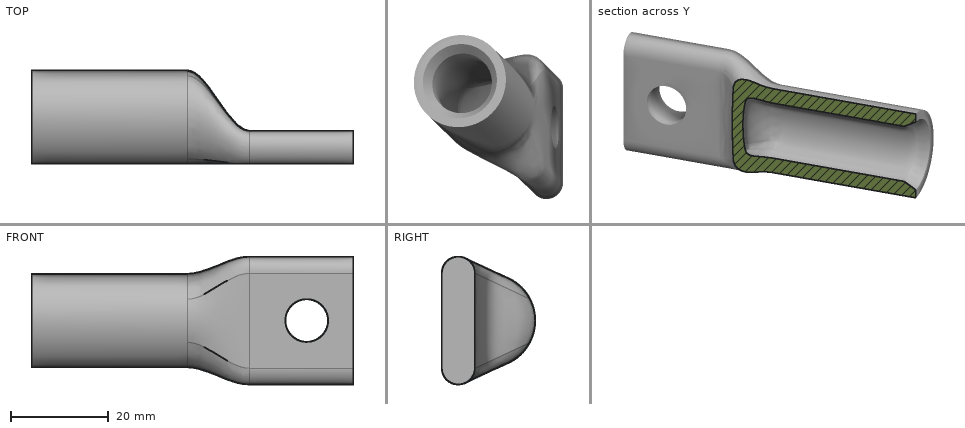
import cadquery as cq
import math

total_length = 65.9
barrel_length = 31.8
barrel_radius = 19.2 / 2
palm_start = 44.55
palm_thickness = 6.8
palm_width = 26.2
bore_radius = 6.2
mouth_radius = 7.7
mouth_depth = 2.65
hole_radius = 4.35
hole_x = 56.3

seam_half_width = 4.4

slit_thickness = 0.4
slit_width = 17.1

transition_length = palm_start - barrel_length
section_count = 7
straight_tolerance = 4.34e-07
palm_center_y = palm_thickness / 2 - barrel_radius


def circle_points(radius, seam):
    """Four seam points and the arc midpoints between them, as (y, z)."""
    depth = math.sqrt(radius**2 - seam**2)
    return [
        (-depth, -seam), (-radius, 0), (-depth, seam), (0, radius),
        (depth, seam), (radius, 0), (depth, -seam), (0, -radius),
    ]


def stadium_points(thickness, width):
    """Matching points on a round-ended flat section centred on the palm."""
    half = thickness / 2
    flat = width / 2 - half
    low = palm_center_y - half
    high = palm_center_y + half
    return [
        (low, -flat), (low, 0), (low, flat), (palm_center_y, width / 2),
        (high, flat), (high, 0), (high, -flat), (palm_center_y, -width / 2),
    ]


def section_wire(x, points):
    """Close a section with two end arcs and two arcs or straight flats."""
    vectors = [cq.Vector(x, y, z) for y, z in points]
    edges = []
    for i in range(0, len(vectors), 2):
        start, middle, end = vectors[i], vectors[i + 1], vectors[(i + 2) % len(vectors)]
        if (middle - start).cross(end - start).Length < straight_tolerance:
            edges.append(cq.Edge.makeLine(start, end))
        else:
            edges.append(cq.Edge.makeThreePointArc(start, middle, end))
    return cq.Wire.assembleEdges(edges)


def transition(round_points, flat_points):
    """Loft from round to flat, easing in and out along the length."""
    wires = []
    for i in range(section_count):
        t = i / (section_count - 1)
        blend = t * t * (3 - 2 * t)
        points = [
            (y0 + (y1 - y0) * blend, z0 + (z1 - z0) * blend)
            for (y0, z0), (y1, z1) in zip(round_points, flat_points)
        ]
        wires.append(section_wire(barrel_length + transition_length * t, points))
    return cq.Workplane(obj=cq.Solid.makeLoft(wires))


palm_points = stadium_points(palm_thickness, palm_width)
barrel = cq.Workplane("YZ").circle(barrel_radius).extrude(barrel_length)
neck = transition(circle_points(barrel_radius, seam_half_width), palm_points)
palm = cq.Workplane(
    obj=cq.Solid.extrudeLinear(
        section_wire(palm_start, palm_points), [], cq.Vector(total_length - palm_start, 0, 0)
    )
)
body = barrel.union(neck).union(palm)

bore = (
    cq.Workplane("XY")
    .polyline([
        (0, 0), (0, mouth_radius), (mouth_depth, bore_radius),
        (barrel_length, bore_radius), (barrel_length, 0),
    ])
    .close()
    .revolve(360, (0, 0, 0), (1, 0, 0))
)
cavity_end = transition(
    circle_points(bore_radius, seam_half_width),
    stadium_points(slit_thickness, slit_width),
)

stud_hole = (
    cq.Workplane("XZ", origin=(hole_x, 0, 0))
    .circle(hole_radius)
    .extrude(2 * barrel_radius, both=True)
)

result = body.cut(bore).cut(cavity_end).cut(stud_hole)